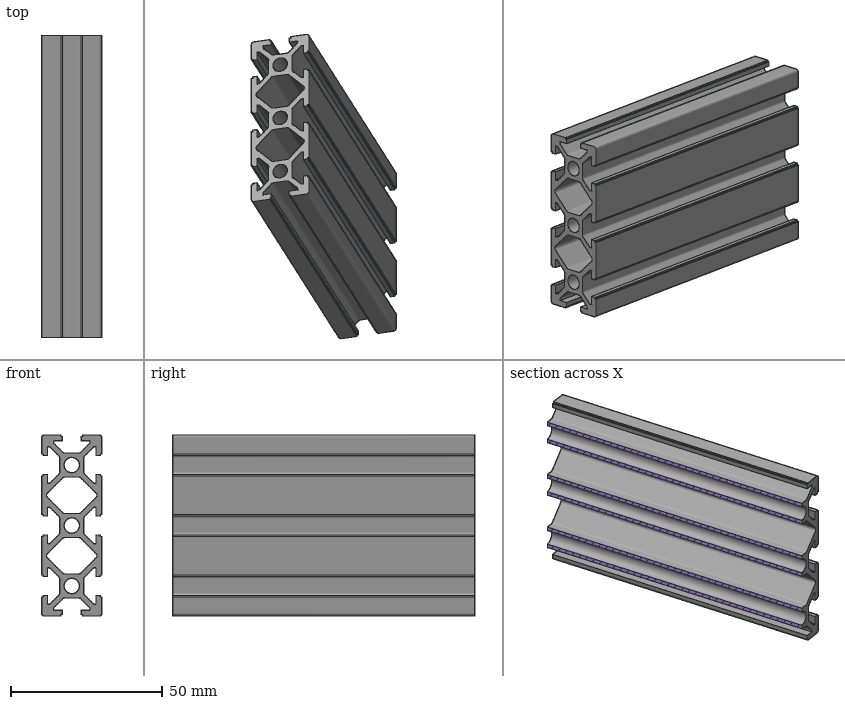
import cadquery as cq
import math

module = 20.0
module_count = 3
length = 100.0

bore_diameter = 5.0
core_half = 4.0
web_thickness = 1.8
lip_thickness = 2.0
slot_opening = 6.2
lip_step = 0.5
pocket_half_width = 6.0
cavity_half_width = 8.3

outer_radius = 1.0
core_radius = 1.0
pocket_radius = 0.5
cavity_tip_radius = 1.0

half_module = module / 2
height = module * module_count
opening_half = slot_opening / 2
step_half = opening_half + lip_step
step_floor = half_module - lip_step
pocket_mouth = half_module - lip_thickness
web_offset = web_thickness / math.sqrt(2)
core_flat_half = core_half - web_offset
pocket_corner_height = pocket_half_width + web_offset
bore_heights = [(i - (module_count - 1) / 2) * module for i in range(module_count)]
cavity_heights = [z + half_module for z in bore_heights[:-1]]


def mirrored_prism(right_side):
    """Full-length prism from the +X half of an XZ outline, mirrored about X = 0."""
    left_side = [(-x, z) for x, z in reversed(right_side)]
    outline = cq.Workplane("XZ").polyline(right_side + left_side).close()
    return outline.extrude(length / 2, both=True)


def fillet_edge_pair(prism, x, z, radius):
    """Round the lengthwise edges at (x, z) and at the mirrored place (-x, z)."""
    right_edge = cq.selectors.NearestToPointSelector((x, 0, z))
    left_edge = cq.selectors.NearestToPointSelector((-x, 0, z))
    return prism.edges("|Y").edges(right_edge + left_edge).fillet(radius)


def make_slot():
    """T-slot void with stepped lips, above a bore at the origin and opening towards +Z."""
    slot = mirrored_prism(
        [
            (core_flat_half, core_half),
            (pocket_half_width, pocket_corner_height),
            (pocket_half_width, pocket_mouth),
            (opening_half, pocket_mouth),
            (opening_half, step_floor),
            (step_half, step_floor),
            (step_half, half_module),
        ]
    )
    slot = fillet_edge_pair(slot, core_flat_half, core_half, core_radius)
    return fillet_edge_pair(slot, pocket_half_width, pocket_corner_height, pocket_radius)


def make_cavity():
    """Eight-sided void with rounded corners, centred between two bores."""
    flat_height = half_module - core_half
    tip_half_height = half_module - web_offset - cavity_half_width
    cavity = mirrored_prism(
        [
            (core_flat_half, flat_height),
            (cavity_half_width, tip_half_height),
            (cavity_half_width, -tip_half_height),
            (core_flat_half, -flat_height),
        ]
    )
    cavity = cavity.edges("|Y").edges("<X or >X").fillet(cavity_tip_radius)
    return cavity.edges("|Y").edges("<Z or >Z").fillet(core_radius)


body = cq.Workplane("XY").box(module, length, height).edges("|Y").fillet(outer_radius)

slot = make_slot()
slot_places = [(z, angle) for z in bore_heights for angle in (90, -90)]
slot_places += [(bore_heights[-1], 0), (bore_heights[0], 180)]
for z, angle in slot_places:
    body = body.cut(slot.rotate((0, 0, 0), (0, 1, 0), angle).translate((0, 0, z)))

cavity = make_cavity()
for z in cavity_heights:
    body = body.cut(cavity.translate((0, 0, z)))

bore_centers = [(0, z) for z in bore_heights]
bore_circles = cq.Workplane("XZ").pushPoints(bore_centers).circle(bore_diameter / 2)
result = body.cut(bore_circles.extrude(length / 2, both=True))